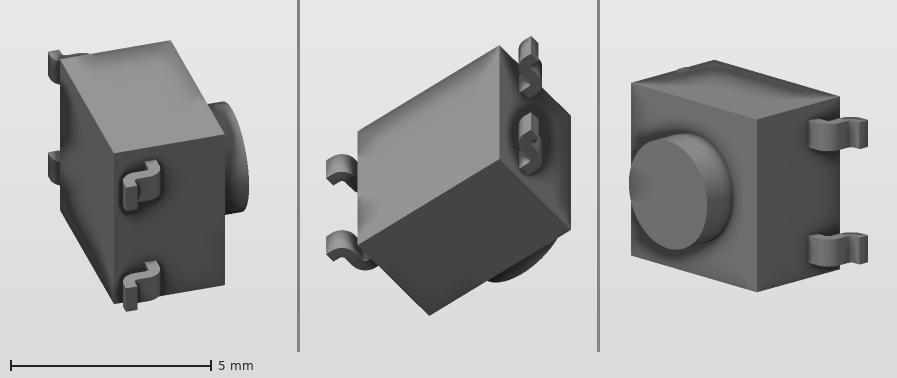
import cadquery as cq

housing_side = 4.5
housing_depth = 2.9
overall_depth = 3.8

button_diameter = 2.8

lead_span = 6.5
lead_width = 0.7
lead_pitch = 3.0
lead_thickness = 0.3
lead_height = 1.1
riser_offset = 0.7
outer_bend_radius = 0.4
inner_bend_radius = outer_bend_radius - lead_thickness

mount_y = -overall_depth / 2
housing_top_y = mount_y + housing_depth


def make_housing():
    return cq.Workplane("XY").box(housing_side, housing_depth, housing_side).translate(
        (0, mount_y + housing_depth / 2, 0)
    )


def make_button():
    button_height = overall_depth - housing_depth
    axis_plane = cq.Plane(origin=(0, housing_top_y, 0), xDir=(1, 0, 0), normal=(0, 1, 0))
    return cq.Workplane(axis_plane).circle(button_diameter / 2).extrude(button_height)


def make_lead(center_z):
    """One lead on the +X side: shoulder, riser and foot, with rounded bends."""
    root_x = housing_side / 2
    tip_x = lead_span / 2
    riser_outer_x = root_x + riser_offset
    riser_inner_x = riser_outer_x - lead_thickness
    top_y = mount_y + lead_height
    profile = (
        cq.Workplane("XY", origin=(0, 0, center_z - lead_width / 2))
        .moveTo(root_x, top_y)
        .lineTo(riser_outer_x - outer_bend_radius, top_y)
        .radiusArc((riser_outer_x, top_y - outer_bend_radius), outer_bend_radius)
        .lineTo(riser_outer_x, mount_y + lead_thickness + inner_bend_radius)
        .radiusArc((riser_outer_x + inner_bend_radius, mount_y + lead_thickness), -inner_bend_radius)
        .lineTo(tip_x, mount_y + lead_thickness)
        .lineTo(tip_x, mount_y)
        .lineTo(riser_inner_x + outer_bend_radius, mount_y)
        .radiusArc((riser_inner_x, mount_y + outer_bend_radius), outer_bend_radius)
        .lineTo(riser_inner_x, top_y - lead_thickness - inner_bend_radius)
        .radiusArc((riser_inner_x - inner_bend_radius, top_y - lead_thickness), -inner_bend_radius)
        .lineTo(root_x, top_y - lead_thickness)
        .close()
    )
    return profile.extrude(lead_width)


result = make_housing().union(make_button())
for center_z in (-lead_pitch / 2, lead_pitch / 2):
    lead = make_lead(center_z)
    result = result.union(lead).union(lead.mirror("YZ"))